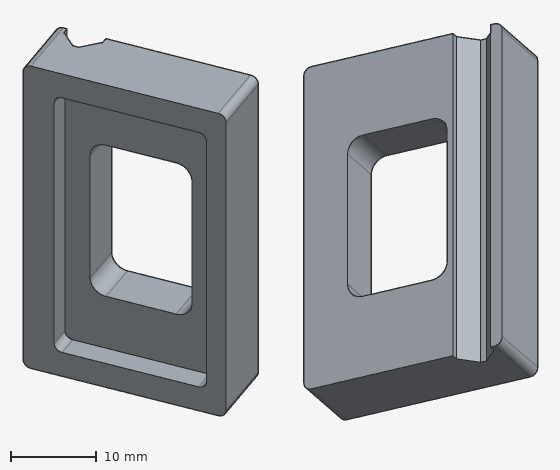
import cadquery as cq

width = 26.0
height = 42.0
depth = 9.0
corner_radius = 1.0
left_side = -width / 2

pocket_left_margin = 4.0
pocket_right_margin = 2.5
pocket_end_margin = 3.3
pocket_depth = 3.0
pocket_radius = 1.0
pocket_width = width - pocket_left_margin - pocket_right_margin
pocket_height = height - 2 * pocket_end_margin
pocket_center_x = (pocket_left_margin - pocket_right_margin) / 2

window_width = 13.0
window_height = 21.0
window_radius = 2.0

lip_width = 1.5
groove_width = 4.95
groove_depth = 3.0
groove_floor_width = 0.75
flank_rise = (groove_width - groove_floor_width) / 2
groove_left = left_side + lip_width
groove_right = groove_left + groove_width
groove_center = groove_left + groove_width / 2
groove_bottom = depth - groove_depth
flank_top = groove_bottom + flank_rise


def rounded_block(size_x, depth, size_z, radius, center_x=0.0):
    """Block from Y = 0 to Y = depth with rounded edges along Y."""
    return (
        cq.Workplane("XY")
        .box(size_x, depth, size_z)
        .edges("|Y")
        .fillet(radius)
        .translate((center_x, depth / 2, 0))
    )


def groove_cutter():
    """Groove profile, extruded over the full height."""
    return (
        cq.Workplane("XY")
        .workplane(offset=-height / 2)
        .moveTo(groove_left, depth)
        .lineTo(groove_left, flank_top)
        .lineTo(groove_center - groove_floor_width / 2, groove_bottom)
        .lineTo(groove_center + groove_floor_width / 2, groove_bottom)
        .lineTo(groove_right, flank_top)
        .lineTo(groove_right, depth)
        .close()
        .extrude(height)
    )


block = rounded_block(width, depth, height, corner_radius)
pocket = rounded_block(pocket_width, pocket_depth, pocket_height, pocket_radius, pocket_center_x)
window = rounded_block(window_width, depth, window_height, window_radius, pocket_center_x)

result = block.cut(groove_cutter()).cut(pocket).cut(window)